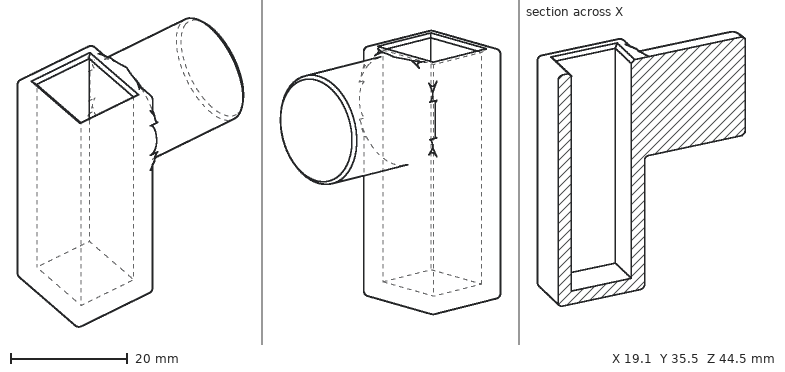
import cadquery as cq
import math

tube_width = 17.85
tube_depth = 16.55
tube_height = 44.45
tube_rounding = 1.0

wall_at_mouth = 2.0
mouth_chamfer = 0.62
floor_thickness = wall_at_mouth + mouth_chamfer

spigot_diameter = 19.05
spigot_radius = spigot_diameter / 2
spigot_end = 35.55
spigot_chamfer = 0.6
spigot_axis_z = tube_height - spigot_radius
joint_rounding = 0.65


def make_tube():
    """Upright block with every outer edge rounded; its front face lies at Y = 0."""
    block = cq.Workplane("XY").box(tube_width, tube_depth, tube_height, centered=(True, False, False))
    return block.edges().fillet(tube_rounding)


def make_socket():
    """Blind rectangular cavity with a chamfered mouth."""
    mouth_width = tube_width - 2 * wall_at_mouth
    mouth_depth = tube_depth - 2 * wall_at_mouth
    mouth = (
        cq.Workplane("XY", origin=(0, tube_depth / 2, tube_height))
        .rect(mouth_width, mouth_depth)
        .workplane(offset=-mouth_chamfer)
        .rect(mouth_width - 2 * mouth_chamfer, mouth_depth - 2 * mouth_chamfer)
        .loft(ruled=True)
    )
    cavity = mouth.faces("<Z").wires().toPending().workplane().extrude(
        tube_height - mouth_chamfer - floor_thickness, combine=False
    )
    return mouth.union(cavity)


def revolve_about_spigot_axis(profile):
    """Revolve a (radius, Y) half profile about the spigot axis."""
    return profile.revolve(360, (0, 0, 0), (0, 1, 0)).translate((0, 0, spigot_axis_z))


def make_spigot():
    """Round spigot with a chamfered free end, starting at the tube's back face."""
    profile = (
        cq.Workplane("XY")
        .moveTo(0, tube_depth)
        .lineTo(spigot_radius, tube_depth)
        .lineTo(spigot_radius, spigot_end - spigot_chamfer)
        .lineTo(spigot_radius - spigot_chamfer, spigot_end)
        .lineTo(0, spigot_end)
        .close()
    )
    return revolve_about_spigot_axis(profile)


def make_root_flare():
    """Concave flare onto the back face, continued as a 45 degree cone, trimmed to the tube outline."""
    rounding_start = tube_depth - tube_rounding
    flare_radius = spigot_radius + joint_rounding
    arc_inset = joint_rounding * (1 - math.sqrt(0.5))
    profile = (
        cq.Workplane("XY")
        .moveTo(0, rounding_start)
        .lineTo(flare_radius + tube_rounding, rounding_start)
        .lineTo(flare_radius, tube_depth)
        .threePointArc(
            (spigot_radius + arc_inset, tube_depth + arc_inset),
            (spigot_radius, tube_depth + joint_rounding),
        )
        .lineTo(0, tube_depth + joint_rounding)
        .close()
    )
    outline = cq.Workplane("XY").box(tube_width, spigot_end, tube_height, centered=(True, False, False))
    return revolve_about_spigot_axis(profile).intersect(outline)


def make_side_fillet(side):
    """Concave fillet under the spigot where it overhangs one tube side (-1 or +1 along X)."""
    tube_side = tube_width / 2
    arc_inset = tube_rounding * (1 - math.sqrt(0.5))
    wedge = (
        cq.Workplane("XY")
        .moveTo(0, tube_depth - tube_rounding)
        .lineTo(side * tube_side, tube_depth - tube_rounding)
        .threePointArc(
            (side * (tube_side + arc_inset), tube_depth - arc_inset),
            (side * (tube_side + tube_rounding), tube_depth),
        )
        .lineTo(0, tube_depth)
        .close()
        .extrude(tube_height)
    )
    spigot_core = (
        cq.Workplane("XZ", origin=(0, 0, spigot_axis_z)).circle(spigot_radius).extrude(-tube_depth)
    )
    return wedge.intersect(spigot_core)


result = make_tube().union(make_spigot()).union(make_root_flare())
for side in (-1, 1):
    result = result.union(make_side_fillet(side))
result = result.cut(make_socket())